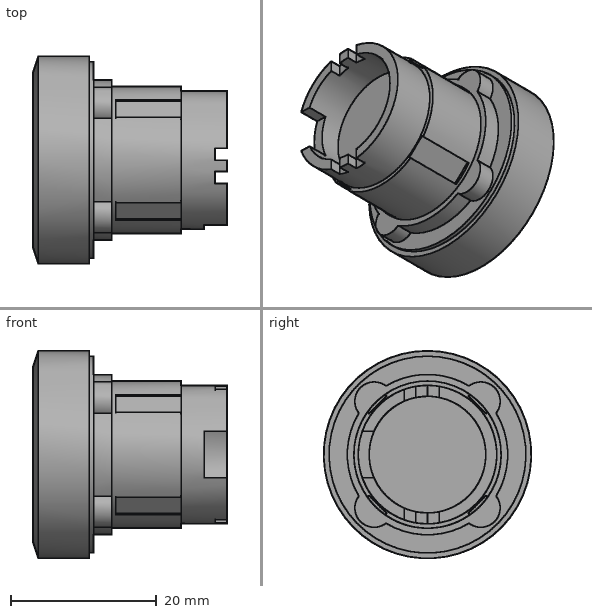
import cadquery as cq
import math

head_chamfer_end = 0.75
head_end = 7.75
flange_end = 8.35
collar_end = 10.85
pocket_start = 11.35
body_end = 20.35
total_length = 26.65

face_radius = 12.0
head_radius = 14.25
flange_radius = 13.5
collar_radius = 11.0
body_radius = 10.1
tail_radius = 9.5
bore_radius = 8.0

diagonal_angles = (45, 135, 225, 315)
lug_radius = 2.65
lug_tip_radius = 13.0
pocket_width = 3.4
pocket_floor_distance = 9.65

slot_width = 1.6
slot_depth = 1.65
slot_lower_edges = (0.0, -2 * slot_width)
notch_width = 6.4
notch_depth = 3.15


def x_cylinder(radius, start, end):
    """Cylinder on the X axis between two stations."""
    return cq.Workplane("YZ").workplane(offset=start).circle(radius).extrude(end - start)


def block(x_range, y_range, z_range):
    """Axis-aligned block given by its limits on each axis."""
    sizes = [high - low for low, high in (x_range, y_range, z_range)]
    corner = (x_range[0], y_range[0], z_range[0])
    return cq.Workplane("XY").box(*sizes, centered=False).translate(corner)


def turned_body():
    """Stepped body of revolution: head, flange, collar, body and tail."""
    profile = [
        (0, 0),
        (0, face_radius),
        (head_chamfer_end, head_radius),
        (head_end, head_radius),
        (head_end, flange_radius),
        (flange_end, flange_radius),
        (flange_end, collar_radius),
        (collar_end, collar_radius),
        (collar_end, body_radius),
        (body_end, body_radius),
        (body_end, tail_radius),
        (total_length, tail_radius),
        (total_length, 0),
    ]
    return cq.Workplane("XZ").polyline(profile).close().revolve(360, (0, 0, 0), (1, 0, 0))


def collar_lug(angle):
    """Round lug standing out of the collar behind the flange."""
    centre_distance = lug_tip_radius - lug_radius
    centre_y = centre_distance * math.cos(math.radians(angle))
    centre_z = centre_distance * math.sin(math.radians(angle))
    return x_cylinder(lug_radius, flange_end, collar_end).translate((0, centre_y, centre_z))


def body_pocket(angle):
    """Cutter for a flat-floored pocket in the body, open towards the tail."""
    half_width = pocket_width / 2
    cutter = block(
        (pocket_start, body_end),
        (pocket_floor_distance, head_radius),
        (-half_width, half_width),
    )
    return cutter.rotate((0, 0, 0), (1, 0, 0), angle)


def tail_slot(lower_edge):
    """Cutter for a narrow slot crossing the top and bottom walls of the tail."""
    return block(
        (total_length - slot_depth, total_length),
        (lower_edge, lower_edge + slot_width),
        (-tail_radius, tail_radius),
    )


def tail_notch():
    """Cutter for the wide notch through the -Y wall of the tail."""
    return block(
        (total_length - notch_depth, total_length),
        (-tail_radius, 0),
        (-notch_width / 2, notch_width / 2),
    )


result = turned_body()
for diagonal in diagonal_angles:
    result = result.union(collar_lug(diagonal))
    result = result.cut(body_pocket(diagonal))

result = result.cut(x_cylinder(bore_radius, body_end, total_length))
for edge in slot_lower_edges:
    result = result.cut(tail_slot(edge))
result = result.cut(tail_notch())